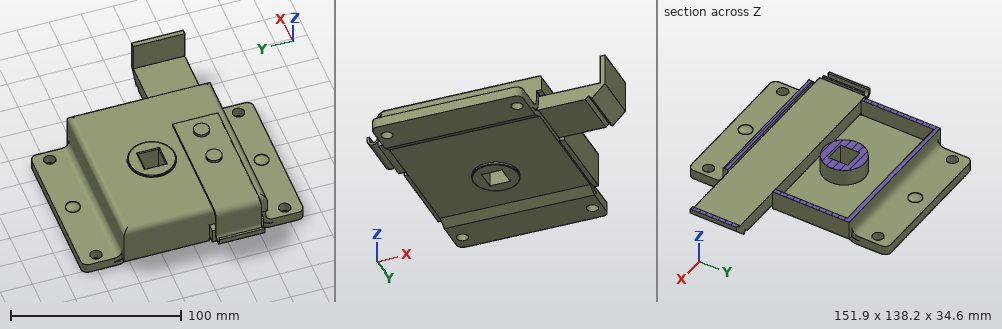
import cadquery as cq
import math


sheet = 3.2
plate_width = 95.4
plate_length = 138.2
plate_corner_radius = 4.1
cover_width = plate_width + 2 * sheet
cover_length = 89.3
cover_top = 29.8
cover_edge_radius = 4.0
flange_top = 2 * sheet
flange_bend_radius = 4.7
side_wall_bottom = 4.7
raised_half_length = 39.3
base_bend_half_length = 46.2

flange_hole_diameter = 7.1
flange_hole_x = 41.3
flange_hole_y = 58.8
rivet_diameter = 8.8
rivet_height = 1.8
rivet_rim_height = 0.38

hub_y = 9.5
hub_diameter = 28.5
hub_clearance_diameter = 29.0
hub_bottom = 1.5
hub_top = 30.8
hub_chamfer = 0.5
drive_square = 13.0
drive_chamfer = 0.6

bolt_y = -25.2
bolt_width = 32.0
bolt_bottom = flange_top
bolt_top = 15.8
bolt_left = -54.0
end_plate_thickness = 3.0
end_plate_outer_x = 89.9
end_plate_top = 34.6
end_plate_slope_length = 10.5

slot_top = 17.8
slot_back_y = -8.5

strap_thickness = 1.5
strap_width = 28.2
strap_right = 22.2
strap_bend_radius = 4.7
hook_radius = 4.0
hook_centre_z = 13.4
hook_tip_z = 15.3
pin_diameter = 9.5
pin_x = 11.2
pin_height = 1.7


def extrude_along_y(outline, width, centre_y):
    """Extrude an XZ outline symmetrically about the given Y position."""
    return outline.extrude(width / 2, both=True).translate((0, centre_y, 0))


def block(x_range, y_range, z_range):
    """Box between the given limits."""
    size = [high - low for low, high in (x_range, y_range, z_range)]
    corner = (x_range[0], y_range[0], z_range[0])
    return cq.Workplane("XY").box(*size, centered=False).translate(corner)


def plate_blank():
    """Rounded rectangle that bounds the base plate and the flanges in plan."""
    blank = cq.Workplane("XY").rect(plate_width, plate_length).extrude(cover_top)
    return blank.edges("|Z").fillet(plate_corner_radius)


def flange_holes():
    """Mounting holes through a sheet at its four corners."""
    grid = cq.Workplane("XY").rect(2 * flange_hole_x, 2 * flange_hole_y, forConstruction=True)
    return grid.vertices().circle(flange_hole_diameter / 2).extrude(flange_top)


def base_plate():
    """Sheet with a raised middle and a flange at each end."""
    end_y = plate_length / 2
    slope_angle = math.atan2(sheet, base_bend_half_length - raised_half_length)
    bend_shift = sheet * math.tan(slope_angle / 2)
    upper_raised_y = raised_half_length + bend_shift
    upper_bend_y = base_bend_half_length + bend_shift
    profile = (
        cq.Workplane("YZ")
        .moveTo(-end_y, 0)
        .lineTo(-base_bend_half_length, 0)
        .lineTo(-raised_half_length, sheet)
        .lineTo(raised_half_length, sheet)
        .lineTo(base_bend_half_length, 0)
        .lineTo(end_y, 0)
        .lineTo(end_y, sheet)
        .lineTo(upper_bend_y, sheet)
        .lineTo(upper_raised_y, 2 * sheet)
        .lineTo(-upper_raised_y, 2 * sheet)
        .lineTo(-upper_bend_y, sheet)
        .lineTo(-end_y, sheet)
        .close()
    )
    plate = profile.extrude(plate_width / 2, both=True).intersect(plate_blank())
    return plate.cut(flange_holes())


def cover_flange():
    """Flange on the +Y side, curving up into the cover wall."""
    wall_y = cover_length / 2
    bend_y = wall_y + flange_bend_radius
    bend_z = flange_top + flange_bend_radius
    diagonal = math.sqrt(0.5)
    outer_radius = flange_bend_radius + sheet
    profile = (
        cq.Workplane("YZ")
        .moveTo(plate_length / 2, flange_top)
        .lineTo(bend_y, flange_top)
        .threePointArc(
            (bend_y - flange_bend_radius * diagonal, bend_z - flange_bend_radius * diagonal),
            (wall_y, bend_z),
        )
        .lineTo(wall_y - sheet, bend_z)
        .threePointArc(
            (bend_y - outer_radius * diagonal, bend_z - outer_radius * diagonal),
            (bend_y, flange_top - sheet),
        )
        .lineTo(plate_length / 2, flange_top - sheet)
        .close()
    )
    return profile.extrude(plate_width / 2, both=True).intersect(plate_blank())


def cover():
    """Hollow cover with rounded top edges, side walls, flanges and bolt slots."""
    half_width = cover_width / 2
    half_length = cover_length / 2
    wall_bottom = flange_top + flange_bend_radius
    outside = block(
        (-half_width, half_width), (-half_length, half_length), (wall_bottom, cover_top)
    )
    outside = outside.edges(">Z").fillet(cover_edge_radius)
    inside = block(
        (-half_width + sheet, half_width - sheet),
        (-half_length + sheet, half_length - sheet),
        (wall_bottom, cover_top - sheet),
    )
    inside = inside.edges(">Z").fillet(cover_edge_radius - sheet)
    body = outside.cut(inside)

    for inner_x, outer_x in ((-half_width, -plate_width / 2), (plate_width / 2, half_width)):
        side_x = (inner_x, outer_x)
        body = body.union(block(side_x, (-half_length, half_length), (side_wall_bottom, wall_bottom)))
        body = body.cut(block(side_x, (-half_length, slot_back_y), (side_wall_bottom, slot_top)))

    hub_clearance = cq.Workplane("XY").center(0, hub_y).circle(hub_clearance_diameter / 2)
    body = body.cut(hub_clearance.extrude(cover_top))
    body = body.union(cover_flange()).union(cover_flange().mirror("XZ"))
    return body.cut(flange_holes())


def rivet(y):
    """Rivet head on a flange: a low cylindrical rim under a spherical dome."""
    rivet_radius = rivet_diameter / 2
    dome_height = rivet_height - rivet_rim_height
    dome_radius = (rivet_radius**2 + dome_height**2) / (2 * dome_height)
    sphere = cq.Workplane("XY").sphere(dome_radius)
    sphere = sphere.translate((0, y, flange_top + rivet_height - dome_radius))
    shank = cq.Workplane("XY").workplane(offset=flange_top).center(0, y)
    return shank.circle(rivet_radius).extrude(rivet_height).intersect(sphere)


def hub():
    """Chamfered hub that passes through the cover and the base plate."""
    cylinder = cq.Workplane("XY").workplane(offset=hub_bottom).center(0, hub_y)
    cylinder = cylinder.circle(hub_diameter / 2).extrude(hub_top - hub_bottom)
    return cylinder.faces("<Z or >Z").chamfer(hub_chamfer)


def drive_hole():
    """Square hole through the hub, widened by a chamfer at its top."""
    square = cq.Workplane("XY").workplane(offset=hub_bottom).center(0, hub_y)
    square = square.rect(drive_square, drive_square).extrude(hub_top - hub_bottom)
    mouth_size = drive_square + 2 * drive_chamfer
    mouth = cq.Workplane("XY").workplane(offset=hub_top).center(0, hub_y)
    mouth = mouth.rect(mouth_size, mouth_size).extrude(-drive_chamfer, taper=45)
    return square.union(mouth)


def bolt():
    """Sliding bar with a 45-degree nose and a bent plate on that nose."""
    inner_x = end_plate_outer_x - end_plate_thickness
    bar = (
        cq.Workplane("XZ")
        .moveTo(bolt_left, bolt_bottom)
        .lineTo(inner_x - (bolt_top - bolt_bottom), bolt_bottom)
        .lineTo(inner_x, bolt_top)
        .lineTo(bolt_left, bolt_top)
        .close()
    )
    slope = end_plate_slope_length * math.sqrt(0.5)
    across = end_plate_thickness * math.sqrt(0.5)
    outer_bend_z = bolt_top - end_plate_thickness * math.tan(math.pi / 8)
    end_plate = (
        cq.Workplane("XZ")
        .moveTo(inner_x, end_plate_top)
        .lineTo(end_plate_outer_x, end_plate_top)
        .lineTo(end_plate_outer_x, outer_bend_z)
        .lineTo(inner_x - slope + across, bolt_top - slope - across)
        .lineTo(inner_x - slope, bolt_top - slope)
        .lineTo(inner_x, bolt_top)
        .close()
    )
    bar = extrude_along_y(bar, bolt_width, bolt_y)
    return bar.union(extrude_along_y(end_plate, bolt_width, bolt_y), clean=False)


def strap():
    """Strap on the cover, bent down past the side wall and ending in a hook."""
    strap_top = cover_top + strap_thickness
    inner_x = bolt_left
    outer_x = inner_x - strap_thickness
    bend_x = outer_x + strap_bend_radius
    bend_z = strap_top - strap_bend_radius
    inner_bend = strap_bend_radius - strap_thickness
    hook_x = inner_x - hook_radius
    hook_inner = hook_radius - strap_thickness
    diagonal = math.sqrt(0.5)
    outline = (
        cq.Workplane("XZ")
        .moveTo(strap_right, strap_top)
        .lineTo(bend_x, strap_top)
        .threePointArc(
            (bend_x - strap_bend_radius * diagonal, bend_z + strap_bend_radius * diagonal),
            (outer_x, bend_z),
        )
        .lineTo(outer_x, hook_centre_z)
        .threePointArc((hook_x, hook_centre_z - hook_inner), (hook_x - hook_inner, hook_centre_z))
        .lineTo(hook_x - hook_inner, hook_tip_z)
        .lineTo(hook_x - hook_radius, hook_tip_z)
        .lineTo(hook_x - hook_radius, hook_centre_z)
        .threePointArc((hook_x, hook_centre_z - hook_radius), (inner_x, hook_centre_z))
        .lineTo(inner_x, bend_z)
        .threePointArc(
            (bend_x - inner_bend * diagonal, bend_z + inner_bend * diagonal),
            (bend_x, cover_top),
        )
        .lineTo(strap_right, cover_top)
        .close()
    )
    body = extrude_along_y(outline, strap_width, bolt_y)
    pins = cq.Workplane("XY").workplane(offset=strap_top)
    pins = pins.pushPoints([(-pin_x, bolt_y), (pin_x, bolt_y)])
    return body.union(pins.circle(pin_diameter / 2).extrude(pin_height))


result = base_plate()
for piece in (cover(), bolt(), strap(), hub(), rivet(-flange_hole_y), rivet(flange_hole_y)):
    result = result.union(piece, clean=False)
result = result.cut(drive_hole(), clean=False)